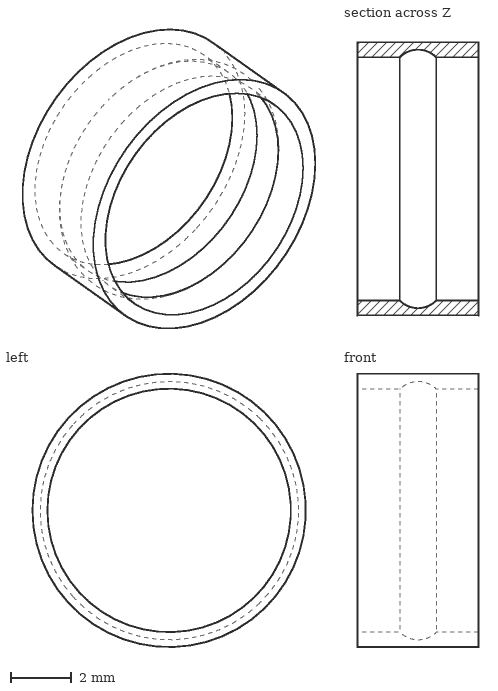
import cadquery as cq

outer_diameter = 9.0
bore_diameter = 8.0
width = 4.0

groove_width = 1.2
groove_depth = 0.25

outer_radius = outer_diameter / 2
bore_radius = bore_diameter / 2
half_width = width / 2
half_groove = groove_width / 2

section = (
    cq.Workplane("XY")
    .moveTo(-half_width, bore_radius)
    .lineTo(-half_groove, bore_radius)
    .threePointArc((0, bore_radius + groove_depth), (half_groove, bore_radius))
    .lineTo(half_width, bore_radius)
    .lineTo(half_width, outer_radius)
    .lineTo(-half_width, outer_radius)
    .close()
)

result = section.revolve(360, (0, 0, 0), (1, 0, 0))